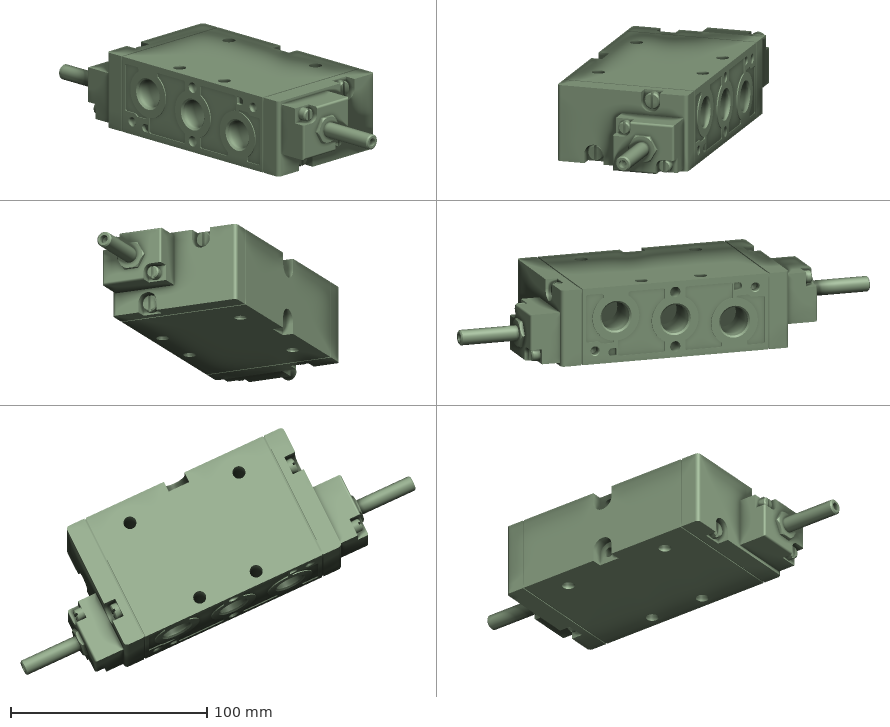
import cadquery as cq
import math


X_AXIS = (1, 0, 0)
Y_AXIS = (0, 1, 0)
Z_AXIS = (0, 0, 1)

overall_length = 220.0
body_length = 122.5
body_depth = 70.0
body_height = 40.0
corner_radius = 2.0
front = -body_depth / 2
back = body_depth / 2
half_height = body_height / 2
cap_face = -body_length / 2

gasket_x = 50.4
gasket_width = 0.9
gasket_depth = 0.5

port_pitch = 32.0
port_rise = 4.0
port_dia = 15.0
port_mouth_dia = 16.7
port_depth = 19.8
port_land_radius = 12.5

recess_depth = 0.55
recess_top = 16.7
recess_outer_x = -48.0
recess_inner_x = -5.5
recess_corner = 0.9
land_half_width = 6.8
outer_recess_end_x = -33.0
outer_recess_step_x = (-41.0, -39.4)
outer_recess_step_z = (-8.4, -9.7)
inner_recess_start_x = -30.8

screw_hole_dia = 4.2
screw_hole_mouth_dia = 5.0
screw_hole_depth = 4.5
screw_hole_x = -43.1
screw_hole_z = -13.2
tip_angle = 118
vent_x = -33.9
vent_z = -14.5
vent_width = 4.2
vent_depth = 2.2
vent_wall = 0.9
vent_corner = 0.7

front_hole_dia = 5.5
front_hole_z = 14.3
back_slot_width = 11.7
back_slot_depth = 5.7
top_hole_dia = 6.5
back_hole_x = 30.8
back_hole_y = 22.9
between_ports_x = port_pitch / 2
between_ports_y = -28.2

driver_slot_width = 1.3
driver_slot_depth = 1.3
screw_chamfer = 0.7
cap_screw_y = -15.2
cap_screw_z = 15.0
cap_screw_dia = 8.5
cap_screw_height = 3.7
cap_pocket_width = 10.1
cap_pocket_depth = 6.2
pilot_screw_y = 10.8
pilot_screw_z = 9.2
pilot_screw_dia = 6.5
pilot_screw_height = 4.5
pilot_pocket_radius = 4.0
pilot_pocket_depth = 6.2

pilot_face = -77.2
pilot_depth = 33.0
pilot_height = 26.5
pilot_y = -16.5
pilot_z = -5.0
pilot_edge_radius = 1.0
nut_flats = 13.5
nut_thickness = 2.0
nut_chamfer = 0.9
cable_dia = 8.0
cable_hole_dia = 4.2
cable_hole_depth = 3.3
cable_chamfer = 0.7


def box(x_range, y_range, z_range):
    """Block between two limits on each axis."""
    size = [high - low for low, high in (x_range, y_range, z_range)]
    corner = (x_range[0], y_range[0], z_range[0])
    return cq.Workplane("XY").box(*size, centered=False).translate(corner)


def cylinder(dia, depth, start, direction):
    """Cylinder from a start point along a direction."""
    solid = cq.Solid.makeCylinder(dia / 2, depth, cq.Vector(start), cq.Vector(direction))
    return cq.Workplane(solid)


def cone(start_dia, end_dia, depth, start, direction):
    """Cone from a start point along a direction."""
    solid = cq.Solid.makeCone(start_dia / 2, end_dia / 2, depth, cq.Vector(start), cq.Vector(direction))
    return cq.Workplane(solid)


def drilled_hole(dia, depth, start, direction):
    """Blind hole whose conical tip lies beyond the full-diameter depth."""
    tip_depth = dia / 2 / math.tan(math.radians(tip_angle / 2))
    tip_start = cq.Vector(start) + cq.Vector(direction) * depth
    bore = cylinder(dia, depth, start, direction)
    return bore.union(cone(dia, 0, tip_depth, tip_start, direction))


def half_turn(shape, axis):
    """Copy turned by half a turn about a main axis."""
    return shape.rotate((0, 0, 0), axis, 180)


def make_body():
    """Body and end caps with rounded upright edges and a gasket groove at each cap."""
    body = cq.Workplane("XY").box(body_length, body_depth, body_height)
    body = body.edges("|Z").fillet(corner_radius)
    for side in (-1, 1):
        band = cq.Workplane("XY").box(gasket_width, body_depth, body_height)
        core = cq.Workplane("XY").box(
            gasket_width, body_depth - 2 * gasket_depth, body_height - 2 * gasket_depth
        )
        body = body.cut(band.cut(core).translate((side * gasket_x, 0, 0)))
    return body


def make_port(x, z):
    """Blind port with a chamfered mouth."""
    mouth_depth = (port_mouth_dia - port_dia) / 2
    bore = cylinder(port_dia, port_depth, (x, front, z), Y_AXIS)
    return bore.union(cone(port_mouth_dia, port_dia, mouth_depth, (x, front, z), Y_AXIS))


def front_plane():
    """Drawing plane on the front face, with X and Z as its axes."""
    return cq.Workplane("XZ", origin=(0, front, 0))


def make_recesses():
    """Two recesses around the left port, cut back by the round port lands."""
    port_x = -port_pitch
    step_x_start, step_x_end = outer_recess_step_x
    step_z_start, step_z_end = outer_recess_step_z
    outer = front_plane().polyline([
        (recess_outer_x, recess_top),
        (port_x - land_half_width, recess_top),
        (port_x - land_half_width, port_rise),
        (outer_recess_end_x, port_rise),
        (outer_recess_end_x, step_z_end),
        (step_x_end, step_z_end),
        (step_x_start, step_z_start),
        (recess_outer_x, step_z_start),
    ]).close().extrude(-recess_depth)
    inner = front_plane().polyline([
        (port_x + land_half_width, recess_top),
        (recess_inner_x, recess_top),
        (recess_inner_x, -recess_top),
        (inner_recess_start_x, -recess_top),
        (inner_recess_start_x, port_rise),
        (port_x + land_half_width, port_rise),
    ]).close().extrude(-recess_depth)
    recesses = outer.union(inner).edges("|Y").fillet(recess_corner)
    for x, z in ((port_x, port_rise), (0, 0)):
        recesses = recesses.cut(cylinder(2 * port_land_radius, recess_depth, (x, front, z), Y_AXIS))
    return recesses


def make_small_front_holes():
    """Countersunk screw hole, and a vent that is half round at its outer end."""
    screw_start = (screw_hole_x, front, screw_hole_z)
    mouth_depth = (screw_hole_mouth_dia - screw_hole_dia) / 2
    screw_hole = drilled_hole(screw_hole_dia, screw_hole_depth, screw_start, Y_AXIS)
    screw_mouth = cone(screw_hole_mouth_dia, screw_hole_dia, mouth_depth, screw_start, Y_AXIS)
    vent_round = cylinder(vent_width, vent_depth, (vent_x, front, vent_z), Y_AXIS)
    vent_end = box(
        (vent_x, inner_recess_start_x - vent_wall),
        (front, front + vent_depth),
        (vent_z - vent_width / 2, vent_z + vent_width / 2),
    )
    vent_end = vent_end.faces(">X").edges("|Y").fillet(vent_corner)
    return screw_hole.union(screw_mouth).union(vent_round).union(vent_end)


def make_front_mounting_hole():
    """Through hole along Y whose back end opens into a slot to the top."""
    hole = cylinder(front_hole_dia, body_depth, (0, front, front_hole_z), Y_AXIS)
    slot_start = back - back_slot_depth
    slot_end = cylinder(back_slot_width, back_slot_depth, (0, slot_start, front_hole_z), Y_AXIS)
    slot = box(
        (-back_slot_width / 2, back_slot_width / 2), (slot_start, back), (front_hole_z, half_height)
    )
    return hole.union(slot_end).union(slot)


def make_slotted_screw(dia, height, seat_x, y, z):
    """Screw head rising along -X from its seat, with an upright driver slot."""
    top_x = seat_x - height
    head = cylinder(dia, height, (seat_x, y, z), (-1, 0, 0)).faces("<X").chamfer(screw_chamfer)
    slot = box(
        (top_x, top_x + driver_slot_depth),
        (y - driver_slot_width / 2, y + driver_slot_width / 2),
        (z - dia / 2, z + dia / 2),
    )
    return head.cut(slot)


def make_cap_pocket():
    """Pocket with a round floor, open to the end face and the top."""
    half_width = cap_pocket_width / 2
    round_part = cylinder(cap_pocket_width, cap_pocket_depth, (cap_face, cap_screw_y, cap_screw_z), X_AXIS)
    open_part = box(
        (cap_face, cap_face + cap_pocket_depth),
        (cap_screw_y - half_width, cap_screw_y + half_width),
        (cap_screw_z, half_height),
    )
    return round_part.union(open_part)


def make_pilot_block():
    """Block centred on the X axis and two opposite screw pockets."""
    block = box(
        (pilot_face, cap_face),
        (-pilot_depth / 2, pilot_depth / 2),
        (-pilot_height / 2, pilot_height / 2),
    )
    block = block.faces("<X").edges().fillet(pilot_edge_radius)
    seat_x = pilot_face + pilot_pocket_depth
    pocket = box(
        (pilot_face, seat_x),
        (pilot_screw_y - pilot_pocket_radius, pilot_depth / 2),
        (pilot_screw_z - pilot_pocket_radius, pilot_height / 2),
    )
    inner_corner = cq.selectors.NearestToPointSelector((pilot_face, 0, 0))
    pocket = pocket.edges("|X").edges(inner_corner).fillet(pilot_pocket_radius)
    screw = make_slotted_screw(
        pilot_screw_dia, pilot_screw_height, seat_x, pilot_screw_y, pilot_screw_z
    )
    block = block.cut(pocket).cut(half_turn(pocket, X_AXIS))
    return block.union(screw).union(half_turn(screw, X_AXIS))


def make_nut():
    """Hexagon nut with its outer corners turned down to a cone."""
    corner_dia = nut_flats / math.cos(math.radians(30))
    nut_face = pilot_face - nut_thickness
    nut = cq.Workplane("YZ", origin=(nut_face, 0, 0)).polygon(6, corner_dia).extrude(nut_thickness)
    turned = cylinder(corner_dia, nut_thickness, (nut_face, 0, 0), X_AXIS)
    turned = turned.faces("<X").chamfer(nut_chamfer)
    return nut.intersect(turned)


def make_cable():
    """Chamfered cable stub with a blind hole in its end."""
    cable_end = -overall_length / 2
    cable = cylinder(cable_dia, pilot_face - cable_end, (cable_end, 0, 0), X_AXIS)
    cable = cable.faces("<X").chamfer(cable_chamfer)
    return cable.cut(drilled_hole(cable_hole_dia, cable_hole_depth, (cable_end, 0, 0), X_AXIS))


def make_pilot():
    """Pilot block, nut and cable in place at the -X end."""
    pilot = make_pilot_block().union(make_nut()).union(make_cable())
    return pilot.translate((0, pilot_y, pilot_z))


body = make_body()

cap_pocket = make_cap_pocket()
paired_cuts = [
    make_port(-port_pitch, port_rise),
    make_recesses(),
    make_small_front_holes(),
    make_front_mounting_hole(),
    cap_pocket,
    half_turn(cap_pocket, X_AXIS),
]
for cutter in paired_cuts:
    body = body.cut(cutter).cut(half_turn(cutter, Y_AXIS))

body = body.cut(make_port(0, 0))
for x, y in ((back_hole_x, back_hole_y), (between_ports_x, between_ports_y)):
    for side in (-1, 1):
        hole_start = (side * x, y, -half_height)
        body = body.cut(cylinder(top_hole_dia, body_height, hole_start, Z_AXIS))

cap_screw = make_slotted_screw(
    cap_screw_dia, cap_screw_height, cap_face + cap_pocket_depth, cap_screw_y, cap_screw_z
)
pilot = make_pilot()

result = body
for piece in (pilot, cap_screw, half_turn(cap_screw, X_AXIS)):
    result = result.union(piece).union(half_turn(piece, Y_AXIS))